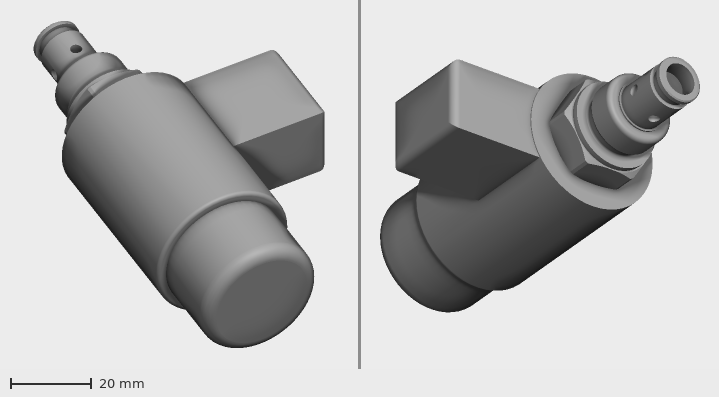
import cadquery as cq
import math


nose_radius = 6.2
tip_length = 1.5
tip_chamfer = 0.3
seal_groove_end = 4.3
seal_groove_radius = 5.1
bore_radius = 4.3
bore_depth = 4.9
cross_hole_x = 11.0
cross_hole_radius = 1.5

shoulder_start = 16.4
shoulder_radius = 6.7
collar_start = 16.8
collar_end = 24.2
collar_radius = 9.6
collar_fillet = 1.3
undercut_start = 25.3
undercut_radius = 8.5
undercut_fillet = 0.5

washer_start = 27.5
washer_radius = 11.8
hex_start = 29.1
hex_across_flats = 24.2
hex_corner_radius = 13.7
hex_chamfer_length = 1.0
hex_chamfer_depth = 1.5

body_start = 37.4
body_end = 86.8
body_radius = 18.5
body_fillet = 1.0
cap_end = 107.0
cap_radius = 16.0
cap_fillet = 3.2

block_start = 37.8
block_length = 25.9
block_height = 19.7
block_reach = 42.0
block_fillet = 2.0


def cylinder(start, end, radius):
    """Solid cylinder along X between two stations."""
    return cq.Workplane("YZ", origin=(start, 0, 0)).circle(radius).extrude(end - start)


def revolve_about_x(points):
    """Turn a closed (x, radius) outline around the X axis."""
    return cq.Workplane("XY").polyline(points).close().revolve(360, (0, 0, 0), (1, 0, 0))


def make_nose_and_collar():
    turned = revolve_about_x([
        (0, 0),
        (0, nose_radius - tip_chamfer),
        (tip_chamfer, nose_radius),
        (tip_length, nose_radius),
        (tip_length, seal_groove_radius),
        (seal_groove_end, seal_groove_radius),
        (seal_groove_end, nose_radius),
        (shoulder_start, nose_radius),
        (shoulder_start, shoulder_radius),
        (collar_start, shoulder_radius),
        (collar_start, collar_radius),
        (collar_end, collar_radius),
        (undercut_start, undercut_radius),
        (washer_start, undercut_radius),
        (washer_start, washer_radius),
        (hex_start, washer_radius),
        (hex_start, 0),
    ])
    collar_rims = cq.selectors.RadiusNthSelector(-2)
    undercut_ends = cq.selectors.RadiusNthSelector(-3)
    turned = turned.edges(collar_rims).edges("<X").fillet(collar_fillet)
    return turned.edges(undercut_ends).fillet(undercut_fillet)


def make_hexagon():
    """Hexagon, corners toward +Y and -Y, turned down at its corners and both ends."""
    across_corners = hex_across_flats / math.cos(math.pi / 6)
    length = body_start - hex_start
    prism = cq.Workplane("YZ", origin=(hex_start, 0, 0)).polygon(6, across_corners).extrude(length)
    end_radius = hex_corner_radius - hex_chamfer_depth
    envelope = revolve_about_x([
        (hex_start, 0),
        (hex_start, end_radius),
        (hex_start + hex_chamfer_length, hex_corner_radius),
        (body_start - hex_chamfer_length, hex_corner_radius),
        (body_start, end_radius),
        (body_start, 0),
    ])
    return prism.intersect(envelope)


def make_coil_body():
    body = cylinder(body_start, body_end, body_radius).faces(">X").edges().fillet(body_fillet)
    cap = cylinder(body_end, cap_end, cap_radius).faces(">X").edges().fillet(cap_fillet)
    return body.union(cap)


def make_connector_block():
    block = cq.Workplane("XY").box(
        block_length, block_reach, block_height, centered=(False, False, True)
    )
    return block.faces(">Y").edges().fillet(block_fillet).translate((block_start, 0, 0))


def make_cross_holes():
    """Radial holes through the nose along Y and along Z."""
    along_y, along_z = [
        cq.Workplane(plane).center(cross_hole_x, 0).circle(cross_hole_radius).extrude(nose_radius, both=True)
        for plane in ("XZ", "XY")
    ]
    return along_y.union(along_z)


result = (
    make_nose_and_collar()
    .union(make_hexagon())
    .union(make_coil_body())
    .union(make_connector_block())
    .cut(cylinder(0, bore_depth, bore_radius))
    .cut(make_cross_holes())
)